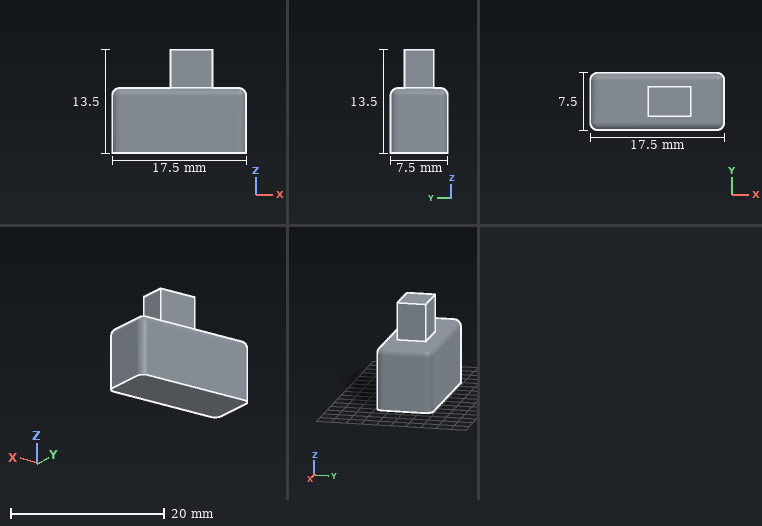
import cadquery as cq

body_length = 17.5
body_width = 7.5
body_height = 8.5
edge_radius = 1.0

post_length = 5.5
post_width = 3.83
post_height = 4.99
post_offset_x = 1.61


def make_body():
    """Block with rounded upright and top edges and a sharp bottom rim."""
    block = cq.Workplane("XY").box(body_length, body_width, body_height, centered=(True, True, False))
    return block.edges("|Z or >Z").fillet(edge_radius)


def make_post():
    """Sharp-edged post standing on the body, offset along X."""
    return (
        cq.Workplane("XY", origin=(post_offset_x, 0, body_height))
        .rect(post_length, post_width)
        .extrude(post_height)
    )


result = make_body().union(make_post())